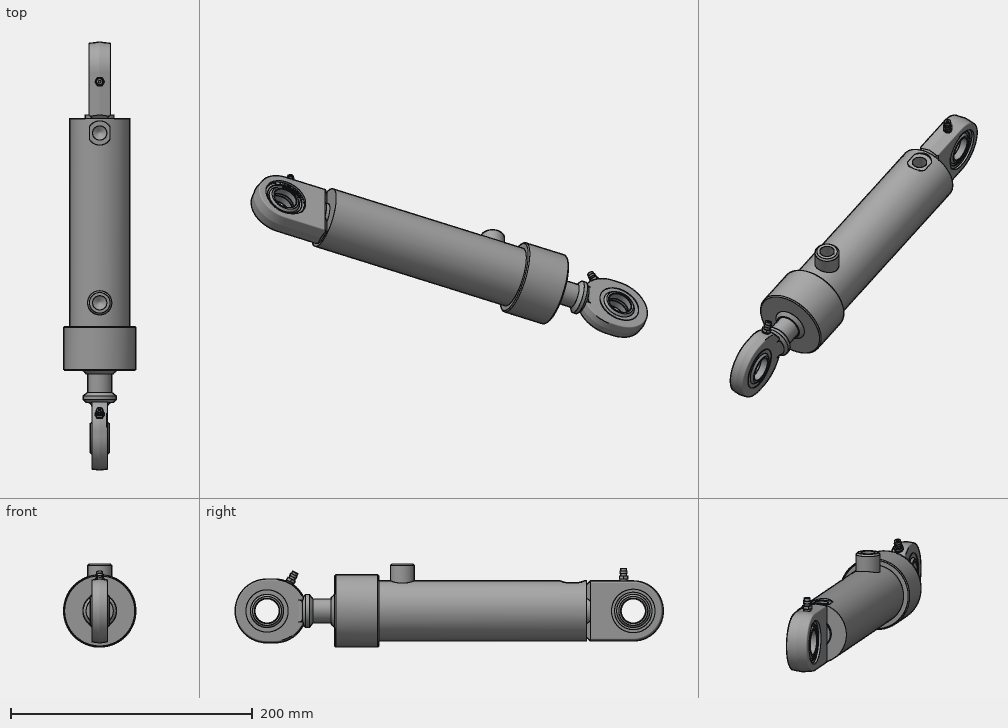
import cadquery as cq
import math


BORE_D = 20.0
BEARING_D = 35.0
BEARING_WIDTH = 12.0
INNER_RING_D = 24.0
INNER_RING_WIDTH = 16.0
BALL_D = 30.0
BEARING_CHAMFER = 0.5
OIL_GROOVE_WIDTH = 2.5
OIL_GROOVE_DEPTH = 0.5

DRAFT_ANGLE = 7.5
EYE_EDGE_R = 0.9

TUBE_D = 50.0
HEAD_D = 60.0
HEAD_START = 56.0
HEAD_LENGTH = 36.5
HEAD_END = HEAD_START + HEAD_LENGTH
HEAD_CHAMFER = 1.0
WIPER_D = 28.0
WIPER_TIP_D = 22.0
WIPER_LENGTH = 3.0
TUBE_END = 264.5

REAR_EYE_Y = 303.0
REAR_EYE_R = TUBE_D / 2
REAR_EYE_WIDTH = 18.0
WELD_GAP = 3.0
NECK_D = 24.0
REAR_BORE_RIM_D = 36.0
RETAINER_BORE_D = 31.0
RETAINER_WIDTH = 1.0
REAR_NIPPLE_Y = 295.0

PORT_D = 20.0
PORT_HOLE_D = 11.8
PORT_HOLE_DEPTH = 12.0
DRILL_ANGLE = 118.0
REAR_PORT_Y = 252.5
REAR_PORT_Z = 23.5
FRONT_PORT_Y = 112.0
FRONT_PORT_Z = 39.0
FRONT_PORT_CHAMFER = 1.5

ROD_D = 20.0
ROD_EYE_R = 26.5
ROD_EYE_WIDTH = 13.0
ROD_EYE_OFFSET = 6.4
COLLAR_D = 27.5
COLLAR_BACK = 38.0
COLLAR_TAPER = 3.0
COLLAR_FRONT = 29.5
COLLAR_CHAMFER = 2.5
SHOULDER_R = 3.5
ROD_NIPPLE_TILT = 28.0
ROD_NIPPLE_SEAT_DEPTH = 0.7

NIPPLE_STUB_D = 6.0
NIPPLE_STUB_TOP = 1.5
NIPPLE_HEX_WIDTH = 7.0
NIPPLE_HEX_TOP = 4.0
NIPPLE_NECK_D = 5.0
NIPPLE_FLANGE_BOTTOM = 6.0
NIPPLE_FLANGE_D = 6.0
NIPPLE_FLANGE_TOP = 8.1
NIPPLE_TOP = 10.3
NIPPLE_HOLE_D = 2.0
NIPPLE_HOLE_DEPTH = 2.0
NIPPLE_ROOT = 1.0


def rod_along_y(diameter, start, end):
    """Cylinder on the main axis between two Y positions."""
    return cq.Workplane("XZ", origin=(0, start, 0)).circle(diameter / 2).extrude(start - end)


def disc_along_x(diameter, width, y):
    """Cylinder across the part, centred on X = 0."""
    return cq.Workplane("YZ", origin=(0, y, 0)).circle(diameter / 2).extrude(width / 2, both=True)


def bearing(y):
    """Spherical bearing: outer ring, ball, grooved bore and protruding inner ring in one revolved solid."""
    half_inner = INNER_RING_WIDTH / 2
    half_outer = BEARING_WIDTH / 2
    ball_edge = math.sqrt((BALL_D / 2) ** 2 - half_outer ** 2)
    bore_r = BORE_D / 2
    half_groove = OIL_GROOVE_WIDTH / 2
    profile = [
        (-half_inner, bore_r + BEARING_CHAMFER),
        (-half_inner, INNER_RING_D / 2),
        (-half_outer, ball_edge),
        (-half_outer, BEARING_D / 2),
        (half_outer, BEARING_D / 2),
        (half_outer, ball_edge),
        (half_inner, INNER_RING_D / 2),
        (half_inner, bore_r + BEARING_CHAMFER),
        (half_inner - BEARING_CHAMFER, bore_r),
        (half_groove, bore_r),
        (half_groove, bore_r + OIL_GROOVE_DEPTH),
        (-half_groove, bore_r + OIL_GROOVE_DEPTH),
        (-half_groove, bore_r),
        (-half_inner + BEARING_CHAMFER, bore_r),
    ]
    ring = cq.Workplane("XY").polyline(profile).close().revolve(360, (0, 0), (1, 0))
    return ring.translate((0, y, 0))


def grease_nipple():
    """Grease nipple standing on Z = 0, with a short root below it."""
    profile = [
        (0, -NIPPLE_ROOT),
        (NIPPLE_STUB_D / 2, -NIPPLE_ROOT),
        (NIPPLE_STUB_D / 2, NIPPLE_STUB_TOP),
        (NIPPLE_NECK_D / 2, NIPPLE_STUB_TOP),
        (NIPPLE_NECK_D / 2, NIPPLE_FLANGE_BOTTOM),
        (NIPPLE_FLANGE_D / 2, NIPPLE_FLANGE_BOTTOM),
        (NIPPLE_FLANGE_D / 2, NIPPLE_FLANGE_TOP),
        (NIPPLE_NECK_D / 2, NIPPLE_FLANGE_TOP),
        (NIPPLE_NECK_D / 2, NIPPLE_TOP),
        (0, NIPPLE_TOP),
    ]
    body = cq.Workplane("XZ").polyline(profile).close().revolve(360, (0, 0), (0, 1))
    corner_d = NIPPLE_HEX_WIDTH / math.cos(math.pi / 6)
    hexagon = (
        cq.Workplane("XY", origin=(0, 0, NIPPLE_STUB_TOP))
        .polygon(6, corner_d)
        .extrude(NIPPLE_HEX_TOP - NIPPLE_STUB_TOP)
    )
    hole = (
        cq.Workplane("XY", origin=(0, 0, NIPPLE_TOP))
        .circle(NIPPLE_HOLE_D / 2)
        .extrude(-NIPPLE_HOLE_DEPTH)
    )
    return body.union(hexagon).cut(hole)


def port_hole(y, top):
    """Drilled port hole with a conical bottom."""
    radius = PORT_HOLE_D / 2
    cone_depth = radius / math.tan(math.radians(DRILL_ANGLE / 2))
    profile = [
        (0, 0),
        (radius, 0),
        (radius, -PORT_HOLE_DEPTH),
        (0, -PORT_HOLE_DEPTH - cone_depth),
    ]
    hole = cq.Workplane("XZ").polyline(profile).close().revolve(360, (0, 0), (0, 1))
    return hole.translate((0, y, top))


def forged_eye(radius, start, end, width):
    """Plate with round ends at two Y positions, drafted both ways from a parting line at X = 0."""
    outline = (
        cq.Workplane("YZ")
        .moveTo(start, -radius)
        .lineTo(end, -radius)
        .threePointArc((end + radius, 0), (end, radius))
        .lineTo(start, radius)
        .threePointArc((start - radius, 0), (start, -radius))
        .close()
    )
    half = outline.extrude(width / 2, taper=DRAFT_ANGLE).faces(">X").edges().fillet(EYE_EDGE_R)
    return half.union(half.mirror("YZ"))


def rear_eye():
    """Fixed eye with a bevelled end, a neck across the weld gap and retaining lips in its bore."""
    bevel_start = TUBE_END + WELD_GAP
    bevel = (
        cq.Workplane("XZ", origin=(0, bevel_start, 0))
        .rect(REAR_EYE_WIDTH, TUBE_D)
        .extrude(WELD_GAP, taper=45)
    )
    block = (
        cq.Workplane("XZ", origin=(0, bevel_start, 0))
        .rect(REAR_EYE_WIDTH, TUBE_D)
        .extrude(bevel_start - REAR_EYE_Y - REAR_EYE_R)
    )
    neck = rod_along_y(NECK_D, TUBE_END, bevel_start)
    eye = (
        forged_eye(REAR_EYE_R, TUBE_END, REAR_EYE_Y, REAR_EYE_WIDTH)
        .intersect(block.union(bevel))
        .union(neck)
    )
    rim_depth = (REAR_EYE_WIDTH - BEARING_WIDTH) / 2 - RETAINER_WIDTH
    for side in (-1, 1):
        rim = disc_along_x(REAR_BORE_RIM_D, rim_depth, REAR_EYE_Y)
        eye = eye.cut(rim.translate((side * (REAR_EYE_WIDTH - rim_depth) / 2, 0, 0)))
    lip_bore = disc_along_x(RETAINER_BORE_D, REAR_EYE_WIDTH, REAR_EYE_Y)
    return eye.cut(lip_bore).cut(disc_along_x(BEARING_D, BEARING_WIDTH, REAR_EYE_Y))


def housing_body():
    """Tube, head, ports and rear eye with its grease nipple."""
    tube = rod_along_y(TUBE_D, HEAD_START, TUBE_END)
    head = rod_along_y(HEAD_D, HEAD_START, HEAD_END).faces("<Y or >Y").chamfer(HEAD_CHAMFER)
    wiper = cq.Workplane("XY").polyline([
        (0, HEAD_START),
        (WIPER_D / 2, HEAD_START),
        (WIPER_TIP_D / 2, HEAD_START - WIPER_LENGTH),
        (0, HEAD_START - WIPER_LENGTH),
    ]).close().revolve(360, (0, 0), (0, 1))
    boss = (
        cq.Workplane("XY", origin=(0, FRONT_PORT_Y, 0))
        .circle(PORT_D / 2)
        .extrude(FRONT_PORT_Z)
        .faces(">Z")
        .chamfer(FRONT_PORT_CHAMFER)
    )
    spotface = (
        cq.Workplane("XY", origin=(0, REAR_PORT_Y, REAR_PORT_Z))
        .circle(PORT_D / 2)
        .extrude(TUBE_D / 2)
    )
    nipple = grease_nipple().translate((0, REAR_NIPPLE_Y, REAR_EYE_R))
    return (
        tube.union(head)
        .union(wiper)
        .union(boss)
        .cut(spotface)
        .cut(port_hole(REAR_PORT_Y, REAR_PORT_Z))
        .cut(port_hole(FRONT_PORT_Y, FRONT_PORT_Z))
        .union(rear_eye())
        .union(nipple)
        .cut(rod_along_y(ROD_D, HEAD_START - WIPER_LENGTH, HEAD_END))
    )


def rod_shoulder():
    """Collar behind the eye that runs into the eye faces with concave rounds."""
    half_width = ROD_EYE_WIDTH / 2
    front = COLLAR_FRONT - SHOULDER_R
    collar_r = COLLAR_D / 2
    mid = SHOULDER_R * (1 - math.sqrt(0.5))
    flare = (
        cq.Workplane("XY")
        .moveTo(-half_width, front)
        .threePointArc(
            (-half_width - mid, COLLAR_FRONT - mid),
            (-half_width - SHOULDER_R, COLLAR_FRONT),
        )
        .lineTo(-collar_r, COLLAR_FRONT)
        .lineTo(-collar_r, COLLAR_BACK)
        .lineTo(collar_r, COLLAR_BACK)
        .lineTo(collar_r, COLLAR_FRONT)
        .lineTo(half_width + SHOULDER_R, COLLAR_FRONT)
        .threePointArc((half_width + mid, COLLAR_FRONT - mid), (half_width, front))
        .close()
        .extrude(collar_r, both=True)
    )
    collar = cq.Workplane("XY").polyline([
        (0, front),
        (collar_r - COLLAR_CHAMFER, front),
        (collar_r - COLLAR_CHAMFER, COLLAR_FRONT),
        (collar_r, COLLAR_FRONT + COLLAR_CHAMFER),
        (collar_r, COLLAR_BACK - COLLAR_TAPER),
        (ROD_D / 2, COLLAR_BACK),
        (0, COLLAR_BACK),
    ]).close().revolve(360, (0, 0), (0, 1))
    return flare.intersect(collar)


def rod_body():
    """Piston rod with its eye and tilted grease nipple."""
    nipple = (
        grease_nipple()
        .translate((0, 0, ROD_EYE_R - ROD_NIPPLE_SEAT_DEPTH))
        .rotate((0, 0, 0), (1, 0, 0), -ROD_NIPPLE_TILT)
        .translate((0, ROD_EYE_OFFSET, 0))
    )
    return (
        rod_along_y(ROD_D, COLLAR_BACK, HEAD_END)
        .union(rod_shoulder())
        .union(forged_eye(ROD_EYE_R, 0, ROD_EYE_OFFSET, ROD_EYE_WIDTH))
        .union(nipple)
        .cut(disc_along_x(BEARING_D, ROD_EYE_WIDTH, 0))
    )


housing = housing_body()
rod = rod_body()
bearings = [bearing(y) for y in (0, REAR_EYE_Y)]

result = cq.Compound.makeCompound([
    housing.val(),
    rod.val(),
    *[each.val() for each in bearings],
])